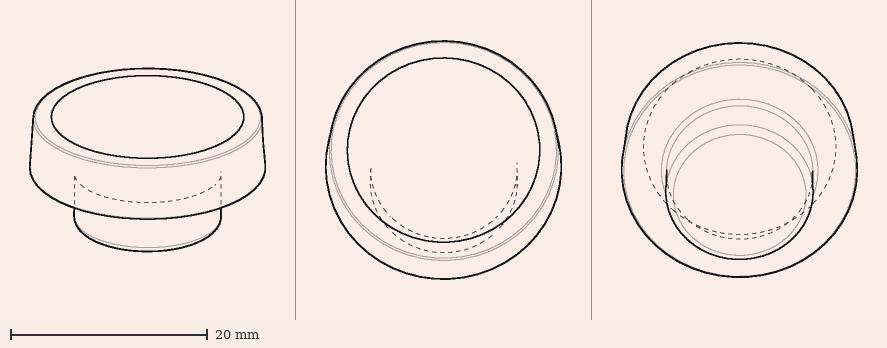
import cadquery as cq
import math

head_diameter = 24.0
total_height = 14.0

stem_radius = 15.0 / 2
neck_radius = 7.46
stem_height = 6.0
stem_end_round = 0.75
neck_fillet = 0.5

head_height = 5.88
head_top_radius = 11.65
head_edge_round = 0.2
head_slope = math.atan((head_diameter / 2 - head_top_radius) / head_height)

corner_loss = head_edge_round * (math.tan(math.pi / 4 + head_slope / 2) - 1)
head_radius = head_diameter / 2 + corner_loss

dome_radius = 9.8
head_top = stem_height + head_height
dome_rise = total_height - head_top
sphere_radius = (dome_radius**2 + dome_rise**2) / (2 * dome_rise)
sphere_center = total_height - sphere_radius

half_angle = math.asin(dome_radius / sphere_radius) / 2
dome_middle = (
    sphere_radius * math.sin(half_angle),
    sphere_center + sphere_radius * math.cos(half_angle),
)


def make_stem():
    """Slightly drafted stem with a rounded lower edge."""
    stem = (
        cq.Workplane("XZ")
        .lineTo(stem_radius, 0)
        .lineTo(neck_radius, stem_height)
        .lineTo(0, stem_height)
        .close()
        .revolve(360, (0, 0), (0, 1))
    )
    return stem.faces("<Z").edges().fillet(stem_end_round)


def make_head():
    """Tapered head, widest at the bottom, with both rims rounded."""
    head = (
        cq.Workplane("XZ")
        .moveTo(0, stem_height)
        .lineTo(head_radius, stem_height)
        .lineTo(head_top_radius, head_top)
        .lineTo(0, head_top)
        .close()
        .revolve(360, (0, 0), (0, 1))
    )
    return head.edges("%CIRCLE").fillet(head_edge_round)


def make_dome():
    """Spherical cap on the flat top of the head."""
    return (
        cq.Workplane("XZ")
        .moveTo(0, head_top)
        .lineTo(dome_radius, head_top)
        .threePointArc(dome_middle, (0, total_height))
        .close()
        .revolve(360, (0, 0), (0, 1))
    )


def round_neck(body):
    """Blend the stem into the underside of the head with a concave fillet."""
    reach = neck_radius + neck_fillet
    neck_zone = cq.selectors.BoxSelector(
        (-reach, -reach, stem_height - neck_fillet),
        (reach, reach, stem_height + neck_fillet),
    )
    return body.edges("%CIRCLE").edges(neck_zone).fillet(neck_fillet)


body = round_neck(make_stem().union(make_head()))
result = body.union(make_dome())